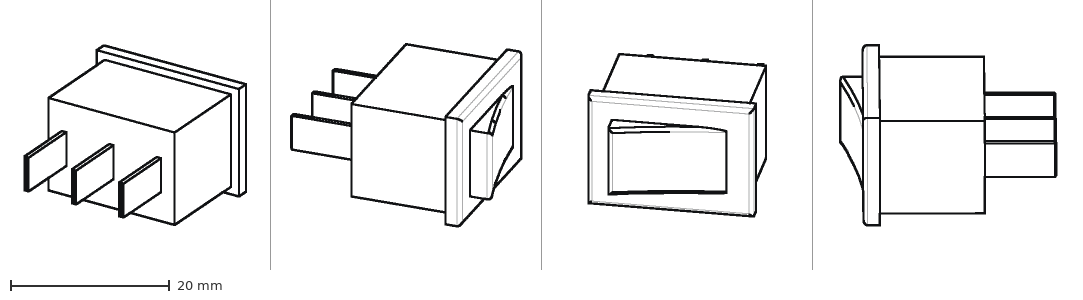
import cadquery as cq

overall_depth = 27.12

bezel_width = 21.2
bezel_height = 15.0
bezel_thickness = 2.1
bezel_round = 0.55

housing_width = 18.82
housing_height = 12.9
housing_depth = 13.2

terminal_count = 3
terminal_pitch = 7.08
terminal_thickness = 0.65
terminal_width = 4.72
terminal_length = 9.0
terminal_chamfer = 0.2

rocker_width = 14.97
rocker_height = 9.22
rocker_round = 0.5
rocker_mid_rise = 1.15
rocker_corner_rise = 2.98
rocker_embed = 1.35

tip_y = -overall_depth / 2
housing_back_y = tip_y + terminal_length
bezel_back_y = housing_back_y + housing_depth
bezel_front_y = bezel_back_y + bezel_thickness


def block(width, depth, height, back_y):
    """Box centred on X and Z that starts at back_y and grows toward +Y."""
    return cq.Workplane("XY").box(width, depth, height).translate((0, back_y + depth / 2, 0))


def make_bezel():
    bezel = block(bezel_width, bezel_thickness, bezel_height, bezel_back_y)
    return bezel.faces(">Y").edges().fillet(bezel_round)


def make_terminal(x):
    terminal = block(terminal_thickness, terminal_length, terminal_width, tip_y)
    return terminal.faces("<Y").edges().chamfer(terminal_chamfer).translate((x, 0, 0))


def make_rocker():
    """Wedge with a concave front face, rounded around the exposed edges."""
    half_width = rocker_width / 2
    root_y = bezel_front_y - rocker_embed
    rocker = (
        cq.Workplane("XY")
        .moveTo(-half_width, root_y)
        .lineTo(-half_width, bezel_front_y)
        .threePointArc(
            (0, bezel_front_y + rocker_mid_rise),
            (half_width, bezel_front_y + rocker_corner_rise),
        )
        .lineTo(half_width, root_y)
        .close()
        .extrude(rocker_height / 2, both=True)
    )
    return rocker.faces("%CYLINDER").edges().fillet(rocker_round)


result = block(housing_width, housing_depth, housing_height, housing_back_y)
result = result.union(make_bezel()).union(make_rocker())
for index in range(terminal_count):
    offset = index - (terminal_count - 1) / 2
    result = result.union(make_terminal(offset * terminal_pitch))